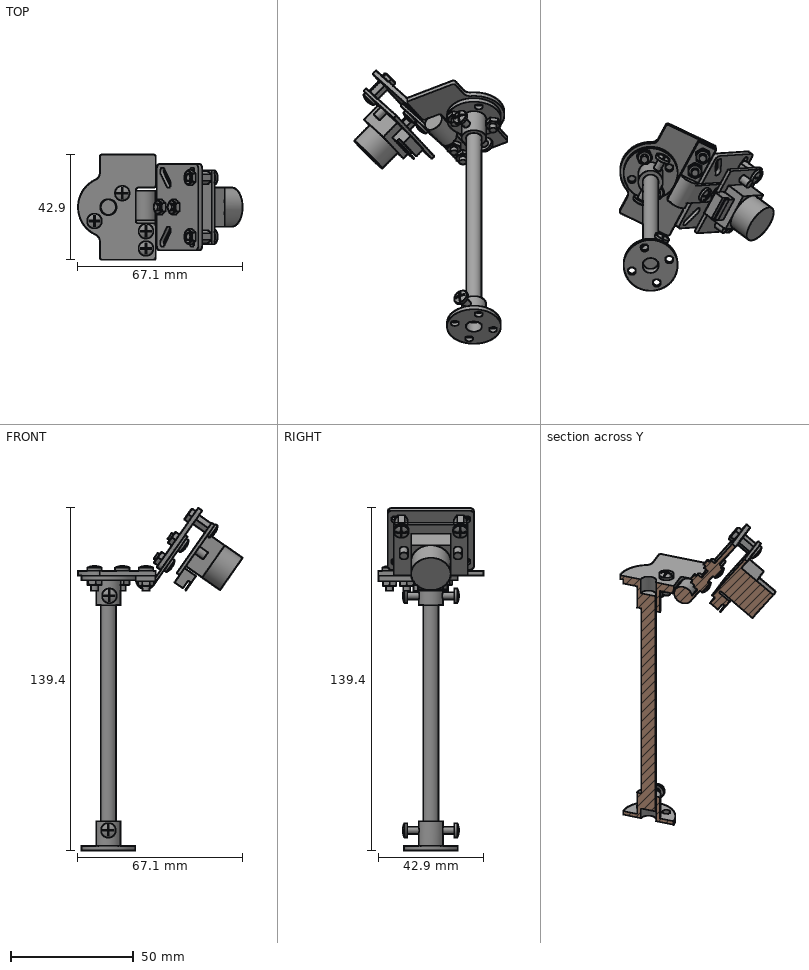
import cadquery as cq
import math

SCREW_DIAMETER = 3.0
HEAD_DIAMETER = 6.0
HEAD_RIM = 1.2
HEAD_HEIGHT = 2.0
CROSS_LENGTH = 4.4
CROSS_WIDTH = 0.5
CROSS_DEPTH = 1.0
NUT_FLATS = 5.5
NUT_HEIGHT = 2.0
NUT_FACE_DIAMETER = 5.2
NUT_CHAMFER = 0.4

POST_DIAMETER = 6.3
HUB_BORE = 6.5
HUB_DIAMETER = 10.0
HUB_HEIGHT = 12.0
FLANGE_DIAMETER = 22.0
FLANGE_THICKNESS = 1.9
FLANGE_HOLE = 3.2
FLANGE_HOLE_CIRCLE = 16.0
FLANGE_HOLE_COUNT = 4
FLANGE_HOLE_ANGLE = 45.0
DECK_BOTTOM = 111.8
POST_INSET = 4.6
SET_SCREW_HEIGHT = 8.2
SET_SCREW_HEAD_FACE = 9.5
SET_SCREW_TIP = 1.5
UPPER_SET_SCREW_OFFSET = 0.4
FLANGE_SCREW_TIP = 4.3
FLANGE_NUT_TURN = 20.0

DECK_THICKNESS = 2.0
DECK_NOSE_RADIUS = 12.4
DECK_BACK = 19.3
DECK_SHOULDER = -3.5
DECK_WIDTH = 42.9
DECK_NOSE_FILLET = 3.0
DECK_CORNER_FILLET = 1.0
NOTCH_FRONT = 11.2
NOTCH_Y_MIN = -6.6
NOTCH_Y_MAX = 7.9

KNUCKLE_X = 15.17
KNUCKLE_Z = 110.27
KNUCKLE_DIAMETER = 8.0
KNUCKLE_Y_MIN = -5.3
KNUCKLE_LENGTH = 12.0
LEAF_FRONT = 11.1
LEAF_BACK = 19.1
LEAF_WIDTH = 16.0
LEAF_THICKNESS = 2.3
LEAF_SCREW_X = 15.3
LEAF_SCREW_PITCH = 7.0
LEAF_SCREW_TIP = 3.9
LEAF_NUT_TURN = 0.0
TILT = 55.0

ARM_LENGTH = 24.0
ARM_WIDTH = 8.5
ARM_THICKNESS = 1.2
ARM_SCREWS = (10.2, 20.1)
ARM_SCREW_TIP = 3.0
HEAD_NUT_TURN = 90.0
CARRIER_LENGTH = 29.5
CARRIER_WIDTH = 35.2
CARRIER_THICKNESS = 2.0
CARRIER_CENTRE = 21.4
CARRIER_CORNER = 2.0
SLOT_WIDTH = 3.2
LOWER_SLOT_OUTER = (10.7, 14.5)
LOWER_SLOT_INNER = (14.9, 9.5)
MOUNT_X = 31.7
MOUNT_Y = 12.0
UPPER_SLOT_OUTER = (31.7, 14.5)
MOUNT_SCREW_RECESS = 0.2
SPACER_FLATS = 4.5
SPACER_LENGTH = 6.0
SPACER_TURN = 90.0
BOARD_LENGTH = 25.0
BOARD_CENTRE = 21.8
BOARD_WIDTH = 30.2
BOARD_THICKNESS = 1.5
LENS_BLOCK_SIDE = 16.0
LENS_BLOCK_HEIGHT = 8.1
LENS_DIAMETER = 16.1
LENS_LENGTH = 8.9
PIN_DIAMETER = 3.5
PIN_LENGTH = 4.2
PIN_Y = 11.0
CONNECTOR_X_MIN = 5.7
CONNECTOR_X_MAX = 12.9
CONNECTOR_WIDTH = 10.0
CONNECTOR_HEIGHT = 5.7
CONNECTOR_SLOT_LENGTH = 3.8
CONNECTOR_SLOT_WIDTH = 1.1
CONNECTOR_LIP = 0.4

DECK_TOP = DECK_BOTTOM + DECK_THICKNESS
LEAF_BOTTOM = DECK_BOTTOM - LEAF_THICKNESS
ARM_BOTTOM = -KNUCKLE_DIAMETER / 2
ARM_TOP = ARM_BOTTOM + ARM_THICKNESS
CARRIER_TOP = ARM_TOP + CARRIER_THICKNESS
BOARD_TOP = ARM_TOP - SPACER_LENGTH
BOARD_BOTTOM = BOARD_TOP - BOARD_THICKNESS


def box(x_min, x_max, y_min, y_max, z_min, z_max):
    """Axis-aligned block between the given limits."""
    block = cq.Workplane("XY").box(x_max - x_min, y_max - y_min, z_max - z_min, centered=False)
    return block.translate((x_min, y_min, z_min))


def cylinder(diameter, height, x=0.0, y=0.0, z=0.0):
    """Upright cylinder standing on height z."""
    return cq.Workplane("XY").circle(diameter / 2).extrude(height).translate((x, y, z))


def across_corners(flats):
    """Corner-to-corner size of a regular hexagon of the given width across flats."""
    return flats / math.cos(math.radians(30))


def hexagon(flats, height, turn):
    """Hexagonal prism with two corners on the X axis, turned about Z."""
    prism = cq.Workplane("XY").polygon(6, across_corners(flats)).extrude(height)
    return prism.rotate((0, 0, 0), (0, 0, 1), turn)


def nut(turn):
    """Bored hexagon nut standing on Z = 0 with its upper corners chamfered by a cone."""
    corner_diameter = across_corners(NUT_FLATS)
    straight = cylinder(corner_diameter, NUT_HEIGHT - NUT_CHAMFER)
    cone = (
        cq.Workplane("XY", origin=(0, 0, NUT_HEIGHT - NUT_CHAMFER))
        .circle(corner_diameter / 2)
        .workplane(offset=NUT_CHAMFER)
        .circle(NUT_FACE_DIAMETER / 2)
        .loft()
    )
    body = hexagon(NUT_FLATS, NUT_HEIGHT, turn).intersect(straight.union(cone))
    return body.cut(cylinder(SCREW_DIAMETER, NUT_HEIGHT))


def screw(length):
    """Domed cross-head screw: head seated on Z = 0, shank pointing down."""
    dome_rise = HEAD_HEIGHT - HEAD_RIM
    dome_radius = ((HEAD_DIAMETER / 2) ** 2 + dome_rise**2) / (2 * dome_rise)
    dome = cq.Workplane("XY").sphere(dome_radius).translate((0, 0, HEAD_HEIGHT - dome_radius))
    head = cylinder(HEAD_DIAMETER, HEAD_HEIGHT).intersect(dome)
    for length_x, length_y in ((CROSS_LENGTH, CROSS_WIDTH), (CROSS_WIDTH, CROSS_LENGTH)):
        bar = cq.Workplane("XY").rect(length_x, length_y).extrude(CROSS_DEPTH)
        head = head.cut(bar.translate((0, 0, HEAD_HEIGHT - CROSS_DEPTH)))
    return head.union(cylinder(SCREW_DIAMETER, length, z=-length))


def hub():
    """Flanged hub with its flange on Z = 0."""
    body = cylinder(FLANGE_DIAMETER, FLANGE_THICKNESS).union(cylinder(HUB_DIAMETER, HUB_HEIGHT))
    body = body.cut(cylinder(HUB_BORE, HUB_HEIGHT))
    holes = (
        cq.Workplane("XY")
        .polarArray(FLANGE_HOLE_CIRCLE / 2, FLANGE_HOLE_ANGLE, 360, FLANGE_HOLE_COUNT)
        .circle(FLANGE_HOLE / 2)
        .extrude(FLANGE_THICKNESS)
    )
    return body.cut(holes)


def set_screws(x, z):
    """Pair of opposed radial screws clamping the post."""
    one = screw(SET_SCREW_HEAD_FACE - SET_SCREW_TIP).translate((0, 0, SET_SCREW_HEAD_FACE))
    pair = one.rotate((0, 0, 0), (1, 0, 0), 90).union(one.rotate((0, 0, 0), (1, 0, 0), -90))
    return pair.translate((x, 0, z))


def post_assembly():
    """Post with the base hub, the inverted top hub and their set screws."""
    post = cylinder(POST_DIAMETER, DECK_BOTTOM - 2 * POST_INSET, z=POST_INSET)
    top_hub = hub().rotate((0, 0, 0), (1, 0, 0), 180).translate((0, 0, DECK_BOTTOM))
    body = post.union(hub()).union(top_hub)
    body = body.union(set_screws(0, SET_SCREW_HEIGHT))
    return body.union(set_screws(UPPER_SET_SCREW_OFFSET, DECK_BOTTOM - SET_SCREW_HEIGHT))


def deck():
    """Flat plate with a round nose, filleted shoulders and a notch for the hinge knuckle."""
    wide = box(DECK_SHOULDER, DECK_BACK, -DECK_WIDTH / 2, DECK_WIDTH / 2, DECK_BOTTOM, DECK_TOP)
    notch = box(NOTCH_FRONT, DECK_BACK, NOTCH_Y_MIN, NOTCH_Y_MAX, DECK_BOTTOM, DECK_TOP)
    wide = wide.cut(notch).edges("|Z").fillet(DECK_CORNER_FILLET)
    nose = cylinder(2 * DECK_NOSE_RADIUS, DECK_THICKNESS, z=DECK_BOTTOM)
    front_half = box(-DECK_NOSE_RADIUS, 0, -DECK_NOSE_RADIUS, DECK_NOSE_RADIUS, DECK_BOTTOM, DECK_TOP)
    plate = wide.union(nose.intersect(front_half))
    shoulder_y = math.sqrt(DECK_NOSE_RADIUS**2 - DECK_SHOULDER**2)
    for side in (-1, 1):
        corner = cq.selectors.NearestToPointSelector((DECK_SHOULDER, side * shoulder_y, DECK_TOP))
        plate = plate.edges("|Z").edges(corner).fillet(DECK_NOSE_FILLET)
    bore = cylinder(HUB_BORE, DECK_THICKNESS, z=DECK_BOTTOM)
    return plate.cut(bore)


def bolt_down(x, y, stack_bottom, tip, nut_turn):
    """Screw through the deck with a nut under the stack; the shank ends tip below the stack."""
    bolt = screw(DECK_TOP - stack_bottom + tip).translate((x, y, DECK_TOP))
    hanging_nut = nut(nut_turn).rotate((0, 0, 0), (1, 0, 0), 180)
    return bolt.union(hanging_nut.translate((x, y, stack_bottom)))


def hinge_base():
    """Leaf under the deck with its knuckle, and the bolts holding leaf and top hub."""
    leaf = box(LEAF_FRONT, LEAF_BACK, KNUCKLE_Y_MIN - LEAF_WIDTH, KNUCKLE_Y_MIN, LEAF_BOTTOM, DECK_BOTTOM)
    knuckle = cylinder(KNUCKLE_DIAMETER, KNUCKLE_LENGTH).rotate((0, 0, 0), (1, 0, 0), -90)
    body = leaf.union(knuckle.translate((KNUCKLE_X, KNUCKLE_Y_MIN, KNUCKLE_Z)))
    leaf_centre_y = KNUCKLE_Y_MIN - LEAF_WIDTH / 2
    for side in (-1, 1):
        y = leaf_centre_y + side * LEAF_SCREW_PITCH / 2
        body = body.union(bolt_down(LEAF_SCREW_X, y, LEAF_BOTTOM, LEAF_SCREW_TIP, LEAF_NUT_TURN))
        offset = side * FLANGE_HOLE_CIRCLE / 2 * math.cos(math.radians(FLANGE_HOLE_ANGLE))
        flange_bottom = DECK_BOTTOM - FLANGE_THICKNESS
        body = body.union(bolt_down(offset, offset, flange_bottom, FLANGE_SCREW_TIP, FLANGE_NUT_TURN))
    return body


def slot(start, end, z_min, depth):
    """Round-ended slot cutter between two centres."""
    run_x = end[0] - start[0]
    run_y = end[1] - start[1]
    length = math.hypot(run_x, run_y) + SLOT_WIDTH
    angle = math.degrees(math.atan2(run_y, run_x))
    cutter = cq.Workplane("XY").slot2D(length, SLOT_WIDTH, angle).extrude(depth)
    return cutter.translate(((start[0] + end[0]) / 2, (start[1] + end[1]) / 2, z_min))


def carrier():
    """Tilted plate with two slanted lower slots and two short upper slots at the camera mounts."""
    plate = (
        cq.Workplane("XY")
        .box(CARRIER_LENGTH, CARRIER_WIDTH, CARRIER_THICKNESS, centered=(True, True, False))
        .edges("|Z")
        .fillet(CARRIER_CORNER)
        .translate((CARRIER_CENTRE, 0, ARM_TOP))
    )
    slots = slot(LOWER_SLOT_OUTER, LOWER_SLOT_INNER, ARM_TOP, CARRIER_THICKNESS)
    slots = slots.union(slot(UPPER_SLOT_OUTER, (MOUNT_X, MOUNT_Y), ARM_TOP, CARRIER_THICKNESS))
    return plate.cut(slots).cut(slots.mirror("XZ"))


def bolt_up(x, y, seat, tip, turn):
    """Screw with its head under height seat and a nut on the carrier; the shank ends tip above it."""
    bolt = screw(CARRIER_TOP + tip - seat).rotate((0, 0, 0), (1, 0, 0), 180)
    return nut(turn).translate((x, y, CARRIER_TOP)).union(bolt.translate((x, y, seat)))


def camera():
    """Camera board with spacers, lens block, lens, locating pins and connector."""
    board = cq.Workplane("XY").rect(BOARD_LENGTH, BOARD_WIDTH).extrude(BOARD_THICKNESS)
    body = board.translate((BOARD_CENTRE, 0, BOARD_BOTTOM))
    block_bottom = BOARD_BOTTOM - LENS_BLOCK_HEIGHT
    block = cq.Workplane("XY").rect(LENS_BLOCK_SIDE, LENS_BLOCK_SIDE).extrude(LENS_BLOCK_HEIGHT)
    body = body.union(block.translate((BOARD_CENTRE, 0, block_bottom)))
    body = body.union(cylinder(LENS_DIAMETER, LENS_LENGTH, BOARD_CENTRE, 0, block_bottom - LENS_LENGTH))
    mount_tip = NUT_HEIGHT - MOUNT_SCREW_RECESS
    for side in (-1, 1):
        pin = cylinder(PIN_DIAMETER, PIN_LENGTH, BOARD_CENTRE, side * PIN_Y, BOARD_BOTTOM - PIN_LENGTH)
        body = body.union(pin)
        spacer = hexagon(SPACER_FLATS, SPACER_LENGTH, SPACER_TURN)
        body = body.union(spacer.translate((MOUNT_X, side * MOUNT_Y, BOARD_TOP)))
        body = body.union(bolt_up(MOUNT_X, side * MOUNT_Y, BOARD_BOTTOM, mount_tip, HEAD_NUT_TURN))
    return body.union(connector())


def connector():
    """Cable connector at the low end of the board, open-ended slot near its outer face."""
    half_width = CONNECTOR_WIDTH / 2
    face = BOARD_BOTTOM - CONNECTOR_HEIGHT
    shell = box(CONNECTOR_X_MIN, CONNECTOR_X_MAX, -half_width, half_width, face, BOARD_BOTTOM)
    slot_end = CONNECTOR_X_MIN + CONNECTOR_SLOT_LENGTH
    slot_bottom = face + CONNECTOR_LIP
    slot_top = slot_bottom + CONNECTOR_SLOT_WIDTH
    return shell.cut(box(CONNECTOR_X_MIN, slot_end, -half_width, half_width, slot_bottom, slot_top))


def tilted_head():
    """Hinge arm, carrier plate and camera, built flat and swung up about the knuckle axis."""
    body = box(0, ARM_LENGTH, -ARM_WIDTH / 2, ARM_WIDTH / 2, ARM_BOTTOM, ARM_TOP)
    body = body.union(carrier()).union(camera())
    for x in ARM_SCREWS:
        body = body.union(bolt_up(x, 0, ARM_BOTTOM, ARM_SCREW_TIP, HEAD_NUT_TURN))
    return body.rotate((0, 0, 0), (0, 1, 0), -TILT).translate((KNUCKLE_X, 0, KNUCKLE_Z))


result = post_assembly().union(deck()).union(hinge_base()).union(tilted_head())